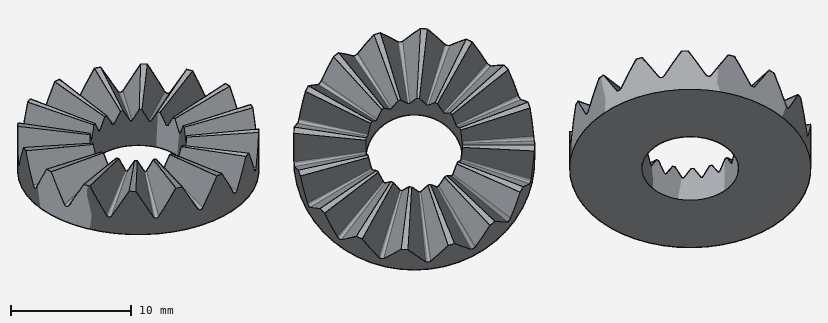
import cadquery as cq
import math

outer_diameter = 20.0
bore_diameter = 8.0
total_height = 4.23
tooth_count = 16
apex_height = 3.0
groove_angle = 60.0
root_radius = 0.25

outer_radius = outer_diameter / 2
bore_radius = bore_diameter / 2
pitch_angle = 360.0 / tooth_count
half_groove = math.radians(groove_angle / 2)
pitch_half_width = outer_radius * math.sin(math.radians(pitch_angle / 4))
vee_depth = pitch_half_width / math.tan(half_groove)

cut_margin = 1.0
cutter_top = total_height - apex_height + cut_margin


def make_blank():
    """Ring whose conical top falls from the outer rim toward the apex."""
    crest_at_bore = apex_height + (total_height - apex_height) * bore_radius / outer_radius
    return (
        cq.Workplane("XZ")
        .moveTo(bore_radius, 0)
        .lineTo(outer_radius, 0)
        .lineTo(outer_radius, total_height)
        .lineTo(bore_radius, crest_at_bore)
        .close()
        .revolve(360, (0, 0, 0), (0, 1, 0))
    )


def groove_profile(radius):
    """Round-bottomed vee in the plane y = -radius, scaled with distance from the axis."""
    scale = radius / outer_radius
    arc_center = -vee_depth + root_radius / math.sin(half_groove)
    tangent_x = root_radius * math.cos(half_groove)
    tangent_z = arc_center - root_radius * math.sin(half_groove)
    top_x = (cutter_top + vee_depth) * math.tan(half_groove)

    def point(x, z):
        return cq.Vector(x * scale, -radius, apex_height + z * scale)

    top_left = point(-top_x, cutter_top)
    root_left = point(-tangent_x, tangent_z)
    root_bottom = point(0, arc_center - root_radius)
    root_right = point(tangent_x, tangent_z)
    top_right = point(top_x, cutter_top)
    return cq.Wire.assembleEdges([
        cq.Edge.makeLine(top_left, root_left),
        cq.Edge.makeThreePointArc(root_left, root_bottom, root_right),
        cq.Edge.makeLine(root_right, top_right),
        cq.Edge.makeLine(top_right, top_left),
    ])


def make_groove():
    """Cutter for one groove, tapering toward the apex."""
    inner_profile = groove_profile(bore_radius - cut_margin)
    outer_profile = groove_profile(outer_radius + cut_margin)
    return cq.Solid.makeLoft([inner_profile, outer_profile], True)


result = make_blank()
groove = make_groove()
for index in range(tooth_count):
    turned_groove = groove.rotate(cq.Vector(0, 0, 0), cq.Vector(0, 0, 1), index * pitch_angle)
    result = result.cut(cq.Workplane(obj=turned_groove))